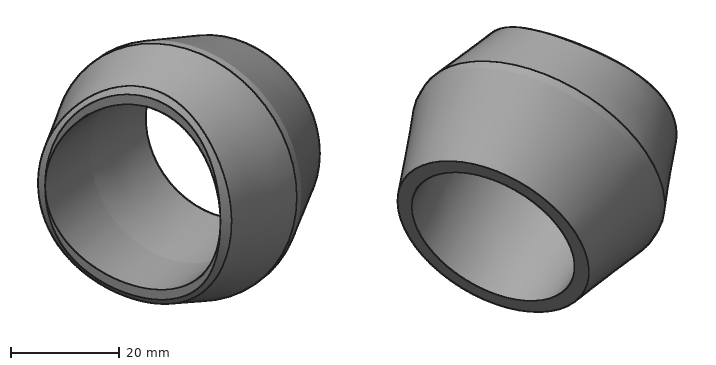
import cadquery as cq
import math

length = 37.3
collar_radius = 25.4
collar_start = 18.65
collar_end = 20.4
back_radius = 19.6
front_taper = 0.325

back_bore_radius = 16.65
bore_radius = 18.25
bore_taper_end = 19.3

pipe_radius = 45.2

bevel_start = 30.5
bevel_end = 38.6
side_bevel_slope = 2.4
top_bevel_slope = 1.2
top_land_width = 2.0
side_land_width = 0.05

side_land_radius = bore_radius + side_land_width
top_land_radius = bore_radius + top_land_width
saddle_depth = pipe_radius - math.sqrt(pipe_radius**2 - side_land_radius**2)
saddle_crest = length - saddle_depth


def make_revolved_ring():
    """Revolve the tapered wall, longer than the finished part so the saddle can trim it."""
    front_radius = collar_radius - front_taper * (bevel_end - collar_end)
    outside = (
        cq.Workplane("XY")
        .moveTo(0, 0)
        .lineTo(back_radius, 0)
        .lineTo(collar_radius, -collar_start)
        .lineTo(collar_radius, -collar_end)
        .lineTo(front_radius, -bevel_end)
        .lineTo(0, -bevel_end)
        .close()
        .revolve(360, (0, 0), (0, 1))
    )
    bore = (
        cq.Workplane("XY")
        .moveTo(0, 0)
        .lineTo(back_bore_radius, 0)
        .lineTo(bore_radius, -bore_taper_end)
        .lineTo(bore_radius, -bevel_end)
        .lineTo(0, -bevel_end)
        .close()
        .revolve(360, (0, 0), (0, 1))
    )
    return outside.cut(bore)


def bevel_half_axes(distance):
    """Half width along X and half height along Z of the bevel, at a distance from the back."""
    half_width = side_land_radius + side_bevel_slope * (length - distance)
    half_height = top_land_radius + top_bevel_slope * (saddle_crest - distance)
    return half_width, half_height


def make_bevel_cutter():
    """Everything outside an elliptical cone that narrows toward the saddle end."""
    inside = (
        cq.Workplane("XZ", origin=(0, -bevel_start, 0))
        .ellipse(*bevel_half_axes(bevel_start))
        .workplane(offset=bevel_end - bevel_start)
        .ellipse(*bevel_half_axes(bevel_end))
        .loft(ruled=True)
    )
    block = (
        cq.Workplane("XZ", origin=(0, -bevel_start, 0))
        .circle(collar_radius)
        .extrude(bevel_end - bevel_start)
    )
    return block.cut(inside)


def make_pipe():
    """The pipe that shapes the saddle."""
    pipe_center = -(saddle_crest + pipe_radius)
    return (
        cq.Workplane("XY")
        .center(0, pipe_center)
        .circle(pipe_radius)
        .extrude(collar_radius, both=True)
    )


result = make_revolved_ring().cut(make_bevel_cutter()).cut(make_pipe())